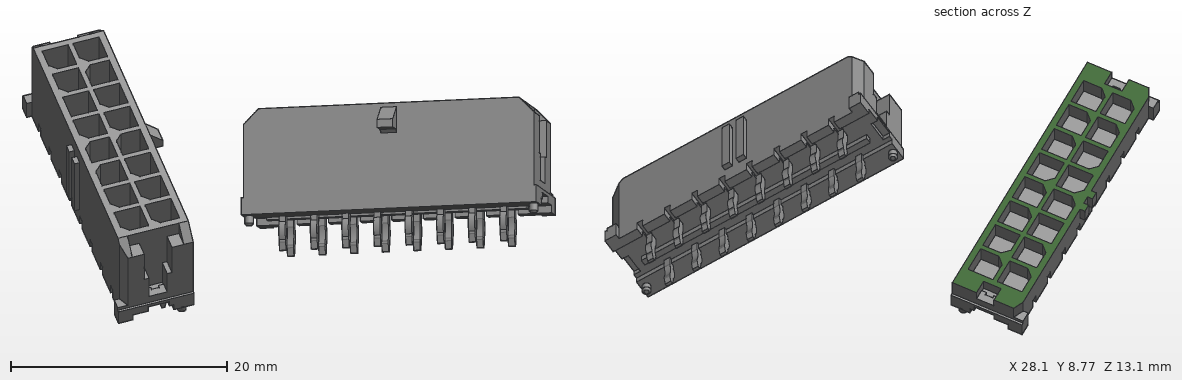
import cadquery as cq

total_length = 28.15
body_length = 27.7
body_depth = 6.87
body_height = 9.9
end_slope = 1.44
front_overhang = 0.5
base_height = 1.6
foot_height = 1.95
foot_inner_x = 12.85
corner_bevel_depth = 0.48
body_end_x = body_length / 2
end_wall_x = body_end_x - end_slope
middle_y = body_depth / 2

pitch = 3.0
column_count = 8
front_row_y = middle_y - pitch / 2
back_row_y = middle_y + pitch / 2
cavity_size = 2.53
cavity_corner_cut = 0.68
cavity_floor_z = 1.7
front_row_corners = "RR-RLLRR"
back_row_corners = "RLRRLRRR"

end_slots = [(5.0, body_height - end_slope), (2.7, 4.98), (1.77, 2.45)]
slot_floor_z = end_slots[-1][1]
floor_recess_depth = 0.2
floor_notch_width = 0.75
floor_notch_depth = 0.25

channel_front_y = 0.93
channel_back_y = 4.9
channel_height = 0.68
center_rib_width = 0.6
end_recess_width = 2.05
end_recess_top_z = 1.27
end_recess_depth = 0.7
peg_radius = 0.42
peg_length = 0.87
peg_chamfer = 0.2
peg_x = 13.57
peg_y = 5.83

pin_width = 0.62
pin_half_thickness = 0.3
pin_top_z = 1.0
bow_top_z = -0.5
bow_bottom_z = -2.2
bow_outer_offset = 0.5
bow_inner_offset = 0.183
taper_z = -2.45
pin_tip_z = -3.18
tip_half_thickness = 0.15

latch_width = 1.5
latch_reach = 1.4
latch_top_z = 9.51
latch_nose_height = 0.75
latch_bottom_z = 7.38
latch_root_chamfer = 0.28
front_rib_width = 0.82
front_rib_spacing = 1.55


def block(x_range, y_range, z_range):
    """Box between the given pairs of limits."""
    (x0, x1), (y0, y1), (z0, z1) = x_range, y_range, z_range
    return cq.Workplane("XY").box(x1 - x0, y1 - y0, z1 - z0, centered=False).translate((x0, y0, z0))


def extruded_along_x(sketch, width):
    """Extrude a closed sketch of the YZ plane equally to both sides of X = 0."""
    return sketch.extrude(width / 2, both=True)


def both_ends(left_shape):
    """The shape at the left end together with its mirror image at the right end."""
    return left_shape.union(left_shape.mirror("YZ"))


def around_middle(width):
    """Y limits of a feature centred on the depth of the housing."""
    return (middle_y - width / 2, middle_y + width / 2)


def column_x(column):
    return (column - (column_count - 1) / 2) * pitch


def make_body():
    body = block((-body_end_x, body_end_x), (0, body_depth), (0, body_height))
    body = body.faces(">Z").edges("|Y").chamfer(end_slope)
    bevel = (
        cq.Workplane("XY", origin=(0, 0, foot_height))
        .moveTo(-foot_inner_x, 0)
        .lineTo(-body_end_x, corner_bevel_depth)
        .lineTo(-body_end_x, 0)
        .close()
        .extrude(body_height)
    )
    return body.cut(both_ends(bevel))


def make_base():
    base = block((-total_length / 2, total_length / 2), (0, body_depth), (0, base_height))
    foot = block((-total_length / 2, -foot_inner_x), (-front_overhang, 0), (0, base_height))
    foot_top = block((-body_end_x, -foot_inner_x), (-front_overhang, 0), (0, foot_height))
    return base.union(both_ends(foot.union(foot_top)))


def make_end_slots():
    """Stepped slot with a shallow recess in its floor, for both ends."""
    outside_x = -total_length / 2
    slots = cq.Workplane("XY")
    for width, bottom_z in end_slots:
        slots = slots.union(block((outside_x, -end_wall_x), around_middle(width), (bottom_z, body_height)))
    recess_z = (slot_floor_z - floor_recess_depth, slot_floor_z)
    recess = block((-foot_inner_x, -end_wall_x), around_middle(end_slots[-1][0]), recess_z)
    notch_x = (-foot_inner_x - floor_notch_depth, -end_wall_x)
    notch = block(notch_x, around_middle(floor_notch_width), recess_z)
    return both_ends(slots.union(recess).union(notch))


def make_cavity(corner):
    """Square cavity, open at the top, with one front corner cut off unless marked "-"."""
    floor = cq.Workplane("XY", origin=(0, 0, cavity_floor_z))
    cavity = floor.rect(cavity_size, cavity_size).extrude(body_height)
    if corner == "-":
        return cavity
    cut_edge = "<X and <Y" if corner == "L" else ">X and <Y"
    return cavity.edges("|Z").edges(cut_edge).chamfer(cavity_corner_cut)


def make_cavities():
    cavities = cq.Workplane("XY")
    rows = ((front_row_corners, front_row_y), (back_row_corners, back_row_y))
    for corners, row_y in rows:
        for column, corner in enumerate(corners):
            cavities = cavities.union(make_cavity(corner).translate((column_x(column), row_y, 0)))
    return cavities


def make_underside_cuts():
    """Lengthwise channel, end recesses and one front notch before each front pin."""
    reach = total_length / 2
    cuts = block((-reach, reach), (channel_front_y, channel_back_y), (0, channel_height))
    recess_x = (-reach, end_recess_depth - reach)
    end_recess = block(recess_x, around_middle(end_recess_width), (0, end_recess_top_z))
    cuts = cuts.union(both_ends(end_recess))
    pin_front_y = front_row_y - pin_half_thickness
    for column in range(column_count):
        x = column_x(column)
        cuts = cuts.union(block((x - pin_width / 2, x + pin_width / 2), (0, pin_front_y), (0, pin_top_z)))
    return cuts


def make_center_rib():
    return block((-end_wall_x, end_wall_x), around_middle(center_rib_width), (0, channel_height))


def make_pegs():
    peg = (
        cq.Workplane("XY", origin=(-peg_x, peg_y, 0))
        .circle(peg_radius)
        .extrude(-peg_length)
        .faces("<Z")
        .chamfer(peg_chamfer)
    )
    return both_ends(peg)


def make_back_pin():
    """Pin at X = 0 in the back row, bowed towards +Y and tapered to its tip."""
    bow_middle_z = (bow_top_z + bow_bottom_z) / 2
    sketch = (
        cq.Workplane("YZ")
        .moveTo(-pin_half_thickness, pin_top_z)
        .lineTo(pin_half_thickness, pin_top_z)
        .lineTo(pin_half_thickness, bow_top_z)
        .threePointArc((bow_outer_offset, bow_middle_z), (pin_half_thickness, bow_bottom_z))
        .lineTo(pin_half_thickness, taper_z)
        .lineTo(tip_half_thickness, pin_tip_z)
        .lineTo(-tip_half_thickness, pin_tip_z)
        .lineTo(-pin_half_thickness, taper_z)
        .lineTo(-pin_half_thickness, bow_bottom_z)
        .threePointArc((-bow_inner_offset, bow_middle_z), (-pin_half_thickness, bow_top_z))
        .close()
    )
    return extruded_along_x(sketch, pin_width).translate((0, back_row_y, 0))


def make_pins():
    back_pin = make_back_pin()
    front_pin = back_pin.mirror("XZ", (0, middle_y, 0))
    pins = cq.Workplane("XY")
    for column in range(column_count):
        for pin in (front_pin, back_pin):
            pins = pins.union(pin.translate((column_x(column), 0, 0)))
    return pins


def make_latch():
    """Latch wedge on the back face, with a chamfered root below its nose."""
    nose_y = body_depth + latch_reach
    sketch = (
        cq.Workplane("YZ")
        .moveTo(body_depth, latch_top_z)
        .lineTo(nose_y, latch_bottom_z + latch_nose_height)
        .lineTo(nose_y, latch_bottom_z)
        .lineTo(body_depth + latch_root_chamfer, latch_bottom_z)
        .lineTo(body_depth, latch_bottom_z - latch_root_chamfer)
        .close()
    )
    return extruded_along_x(sketch, latch_width)


def make_front_ribs():
    rib_z = (foot_height, body_height - end_slope)
    inner_x = (front_rib_spacing - front_rib_width) / 2
    return both_ends(block((-inner_x - front_rib_width, -inner_x), (-front_overhang, 0), rib_z))


housing = make_body().union(make_base())
housing = housing.cut(make_end_slots()).cut(make_cavities()).cut(make_underside_cuts())
result = (
    housing.union(make_center_rib())
    .union(make_pegs())
    .union(make_pins())
    .union(make_latch())
    .union(make_front_ribs())
)